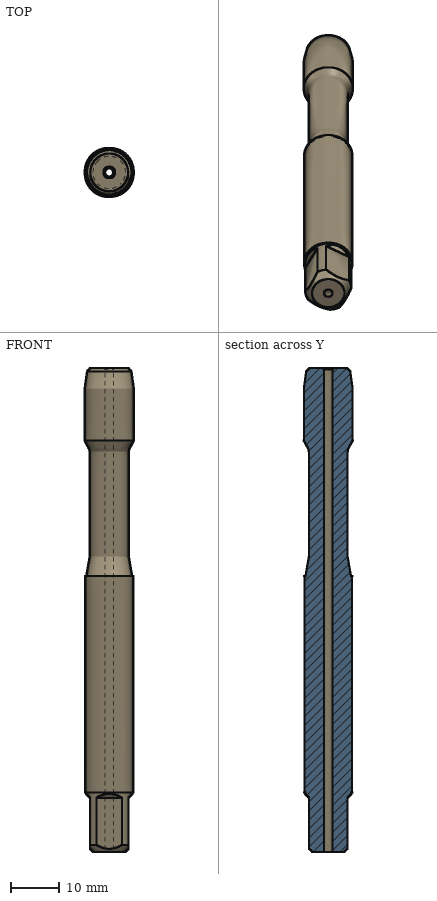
import cadquery as cq

total_length = 100.0

head_diameter = 10.18
tip_face_diameter = 7.8
tip_chamfer_diameter = 9.2
tip_chamfer_height = 0.75
lead_taper_height = 4.3
head_length = 15.0
head_back_height = 1.75
head_back_diameter = 8.35
neck_lead_in_length = 0.6

neck_diameter = 8.1
neck_end_depth = 39.0
shank_diameter = 10.0
shank_taper_diameter = 9.5
shank_taper_height = 4.0

square_size = 8.0
square_corner_diameter = 9.6
square_section_length = 12.3
square_flat_length = 11.2
end_face_diameter = 6.7

bore_diameter = 1.7
bore_mouth_diameter = 2.4


def turned_body():
    """Revolve the half outline of the whole tool about the Z axis."""
    head_bottom = total_length - head_length
    neck_top = head_bottom - head_back_height - neck_lead_in_length
    neck_bottom = total_length - neck_end_depth
    end_chamfer = (square_corner_diameter - end_face_diameter) / 2
    outline = [
        (0, 0),
        (end_face_diameter / 2, 0),
        (square_corner_diameter / 2, end_chamfer),
        (square_corner_diameter / 2, square_section_length),
        (shank_diameter / 2, square_section_length),
        (shank_diameter / 2, neck_bottom - shank_taper_height),
        (shank_taper_diameter / 2, neck_bottom - shank_taper_height),
        (neck_diameter / 2, neck_bottom),
        (neck_diameter / 2, neck_top),
        (head_back_diameter / 2, head_bottom - head_back_height),
        (head_diameter / 2, head_bottom),
        (head_diameter / 2, total_length - lead_taper_height),
        (tip_chamfer_diameter / 2, total_length - tip_chamfer_height),
        (tip_face_diameter / 2, total_length),
        (0, total_length),
    ]
    return cq.Workplane("XZ").polyline(outline).close().revolve(360, (0, 0), (0, 1))


def flat_cutter():
    """Material removed in front of the -Y flat, running out at 45 degrees at its upper end."""
    flat = square_size / 2
    outside = shank_diameter
    outline = [
        (-flat, 0),
        (-flat, square_flat_length),
        (-outside, square_flat_length + outside - flat),
        (-outside, 0),
    ]
    return cq.Workplane("YZ").polyline(outline).close().extrude(shank_diameter / 2, both=True)


def bore_cutter():
    """Through bore with a 45 degree countersink at the tip."""
    countersink_depth = (bore_mouth_diameter - bore_diameter) / 2
    outline = [
        (0, 0),
        (bore_diameter / 2, 0),
        (bore_diameter / 2, total_length - countersink_depth),
        (bore_mouth_diameter / 2, total_length),
        (0, total_length),
    ]
    return cq.Workplane("XZ").polyline(outline).close().revolve(360, (0, 0), (0, 1))


result = turned_body()
for quarter_turn in range(4):
    result = result.cut(flat_cutter().rotate((0, 0, 0), (0, 0, 1), 90 * quarter_turn))
result = result.cut(bore_cutter())